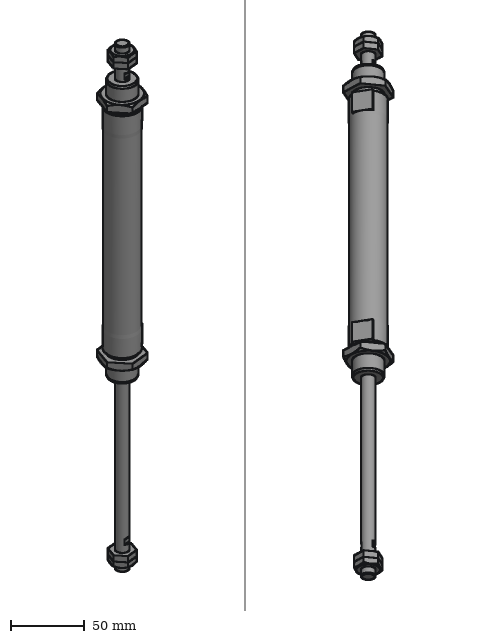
import cadquery as cq
import math


rod_length = 417.0
rod_d = 10.0
rod_tip_d = 8.8
rod_tip_chamfer = (rod_d - rod_tip_d) / 2
flat_spacing = 8.0
flat_start = 21.5
flat_length = 5.0
flat_depth = (rod_d - flat_spacing) / 2

body_center = 271.0
neck_half = 118.0
cap_half = 96.0
taper_half = 81.0
tube_half = 78.0
neck_d = 22.0
neck_tip_d = 20.5
neck_chamfer = (neck_d - neck_tip_d) / 2
neck_chamfer_height = 1.5
cap_d = 26.5
tube_step = 0.15
tube_d = cap_d - 2 * tube_step

pad_width = 14.5
pad_face_y = cap_d / 2

mount_nut_flats = 30.0
mount_nut_thickness = 6.3
mount_nut_face_d = 29.5
upper_mount_nut_gap = 3.8
lower_mount_nut_gap = 3.0
rod_nut_flats = 17.0
rod_nut_face_d = 16.3
rod_nut_thickness = 5.0
rod_nut_setback = 5.5
nut_bevel_angle = 30.0
hexagon_sides = 6
hexagon_half_sector = 180 / hexagon_sides


def cylinder(diameter, z_low, z_high):
    """Solid cylinder on the Z axis."""
    return cq.Workplane("XY").workplane(offset=z_low).circle(diameter / 2).extrude(z_high - z_low)


def mirror_about(shape, z):
    """Mirror a shape across the horizontal plane at height z."""
    return shape.mirror("XY", (0, 0, z))


def flat_cutter():
    """Cutter for the +X wrench flat near Z = 0, with a 45 degree run-out at its inner end."""
    flat_x = flat_spacing / 2
    outer_x = flat_x + flat_depth
    flat_end = flat_start + flat_length
    outline = [
        (flat_x, flat_start),
        (outer_x, flat_start),
        (outer_x, flat_end),
        (flat_x, flat_end - flat_depth),
    ]
    return cq.Workplane("XZ").polyline(outline).close().extrude(rod_d / 2, both=True)


def make_rod():
    """Through rod with chamfered tips and a pair of wrench flats near each end."""
    rod = cylinder(rod_d, 0, rod_length).faces("<Z or >Z").chamfer(rod_tip_chamfer)
    lower_cutter = flat_cutter()
    for cutter in (lower_cutter, mirror_about(lower_cutter, rod_length / 2)):
        rod = rod.cut(cutter).cut(cutter.mirror("YZ"))
    return rod


def make_cylinder_body():
    """Tube with a tapered cap, a port pad and a chamfered neck at each end, bored for the rod."""
    neck = cylinder(neck_d, -neck_half, neck_half)
    neck = neck.faces("<Z or >Z").chamfer(neck_chamfer_height, neck_chamfer)
    body = neck.union(cylinder(tube_d, -tube_half, tube_half))
    cap = cylinder(cap_d, taper_half, cap_half)
    pad = (
        cq.Workplane("XY")
        .workplane(offset=taper_half)
        .center(0, pad_face_y / 2)
        .rect(pad_width, pad_face_y)
        .extrude(cap_half - taper_half)
    )
    taper = (
        cq.Workplane("XY")
        .workplane(offset=tube_half)
        .circle(tube_d / 2)
        .workplane(offset=taper_half - tube_half)
        .circle(cap_d / 2)
        .loft()
    )
    upper_end = cap.union(pad).union(taper)
    body = body.union(upper_end).union(mirror_about(upper_end, 0))
    body = body.cut(cylinder(rod_d, -neck_half, neck_half))
    return body.translate((0, 0, body_center))


def corner_diameter(flats):
    """Diameter across the corners of a hexagon with the given width across flats."""
    return flats / math.cos(math.radians(hexagon_half_sector))


def make_nut(flats, thickness, bore_d):
    """Hexagon nut from Z = 0 up, with two corners in the YZ plane."""
    return (
        cq.Workplane("XY")
        .polygon(hexagon_sides, corner_diameter(flats))
        .circle(bore_d / 2)
        .extrude(thickness)
        .rotate((0, 0, 0), (0, 0, 1), hexagon_half_sector)
    )


def bevel_top(nut, flats, thickness, face_d):
    """Bevel the corners of a nut around a flat ring face_d on its top face."""
    blank_d = corner_diameter(flats)
    bevel_width = (blank_d - face_d) / 2
    bevel_height = bevel_width * math.tan(math.radians(nut_bevel_angle))
    envelope = cylinder(blank_d, 0, thickness).faces(">Z").chamfer(bevel_height, bevel_width)
    return nut.intersect(envelope)


def make_mount_nuts():
    """One nut on each neck, bevelled on the side away from the cap."""
    plain_nut = make_nut(mount_nut_flats, mount_nut_thickness, neck_d)
    nut = bevel_top(plain_nut, mount_nut_flats, mount_nut_thickness, mount_nut_face_d)
    upper = nut.translate((0, 0, body_center + cap_half + upper_mount_nut_gap))
    lower = mirror_about(nut, 0).translate((0, 0, body_center - cap_half - lower_mount_nut_gap))
    return [upper, lower]


def make_rod_nuts():
    """A bevelled outer nut and a plain inner nut, face to face, on each rod end."""
    inner = make_nut(rod_nut_flats, rod_nut_thickness, rod_d)
    outer = bevel_top(inner, rod_nut_flats, rod_nut_thickness, rod_nut_face_d)
    nuts = []
    for position, nut in enumerate([outer, inner]):
        bottom_z = rod_length - rod_nut_setback - (position + 1) * rod_nut_thickness
        upper = nut.translate((0, 0, bottom_z))
        nuts += [upper, mirror_about(upper, rod_length / 2)]
    return nuts


rod = make_rod()
cylinder_body = make_cylinder_body()
mount_nuts = make_mount_nuts()
rod_nuts = make_rod_nuts()

result = cq.Compound.makeCompound(
    [rod.val(), cylinder_body.val(), *[nut.val() for nut in mount_nuts + rod_nuts]]
)